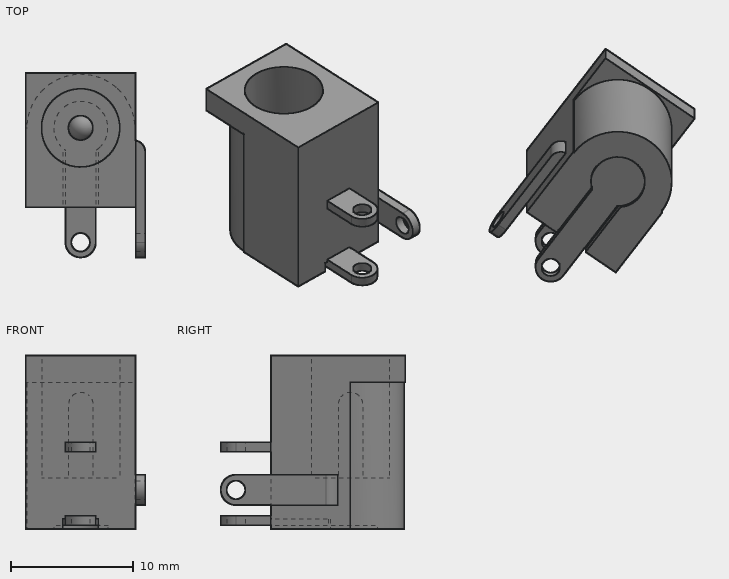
import cadquery as cq


body_width = 9.0
body_length = 11.0
body_height = 14.2
rear_y = body_width / 2
barrel_radius = 4.41
front_y = rear_y - body_length
flange_height = 2.2

bore_diameter = 6.4
bore_depth = 10.0
bore_floor_z = body_height - bore_depth
pin_diameter = 2.0
pin_recess = 3.0

lug_width = 2.5
lug_thickness = 0.8
lug_hole_diameter = 1.5
lug_hole_y = front_y - 2.85
pin_lug_z = 0.3
sleeve_lug_z = 6.3
side_lug_center_z = 3.2
side_lug_rear_y = -1.0
side_lug_bend_radius = 1.0

recess_radius = 2.2
recess_height = 0.85
slot_width = 2.9


def disc(radius, height):
    """Upright cylinder on the Z axis, standing on Z = 0."""
    return cq.Workplane("XY").circle(radius).extrude(height)


def block(width, start_y, end_y, height):
    """Box on Z = 0, centered on X = 0, between two Y positions."""
    return (
        cq.Workplane("XY")
        .center(0, (start_y + end_y) / 2)
        .rect(width, end_y - start_y)
        .extrude(height)
    )


def lug(root_y):
    """Round-tipped solder lug with a wire hole, lying flat on Z = 0."""
    tip = (
        cq.Workplane("XY")
        .center(0, lug_hole_y)
        .circle(lug_width / 2)
        .extrude(lug_thickness)
    )
    hole = (
        cq.Workplane("XY")
        .center(0, lug_hole_y)
        .circle(lug_hole_diameter / 2)
        .extrude(lug_thickness)
    )
    return block(lug_width, lug_hole_y, root_y, lug_thickness).union(tip).cut(hole)


def housing():
    """Round-backed body with a rectangular flange along the top."""
    barrel = disc(barrel_radius, body_height)
    front_half = block(body_width, front_y, 0, body_height)
    flange = block(body_width, front_y, rear_y, flange_height)
    flange = flange.translate((0, 0, body_height - flange_height))
    return front_half.union(barrel).union(flange)


def bore():
    """Blind plug bore, open at the top."""
    return disc(bore_diameter / 2, bore_depth).translate((0, 0, bore_floor_z))


def base_recess():
    """Round recess in the base with a slot out to the front face."""
    slot = block(slot_width, front_y, 0, recess_height)
    return disc(recess_radius, recess_height).union(slot)


def pin_contact():
    """Contact disc filling the upper part of the base recess, with its solder lug."""
    plate = disc(recess_radius, lug_thickness).union(lug(0))
    return plate.translate((0, 0, pin_lug_z))


def center_pin():
    """Contact pin standing on the bore floor, with a hemispherical tip."""
    radius = pin_diameter / 2
    dome_z = body_height - pin_recess - radius
    shank = disc(radius, dome_z - bore_floor_z).translate((0, 0, bore_floor_z))
    dome = cq.Workplane("XY").sphere(radius).translate((0, 0, dome_z))
    return shank.union(dome)


def side_lug():
    """Upright lug on the +X face, its rear end curving into the housing as a rounded bend."""
    bend_x = body_width / 2 + lug_thickness - side_lug_bend_radius
    bend_y = side_lug_rear_y - side_lug_bend_radius
    bend = disc(side_lug_bend_radius, lug_width)
    bend = bend.translate((bend_x, bend_y, side_lug_center_z - lug_width / 2))
    upright = lug(bend_y).rotate((0, 0, 0), (0, 1, 0), 90)
    upright = upright.translate((body_width / 2, 0, side_lug_center_z))
    return upright.union(bend)


result = housing().cut(bore()).cut(base_recess())
result = result.union(center_pin())
result = result.union(pin_contact())
result = result.union(lug(front_y).translate((0, 0, sleeve_lug_z)))
result = result.union(side_lug())